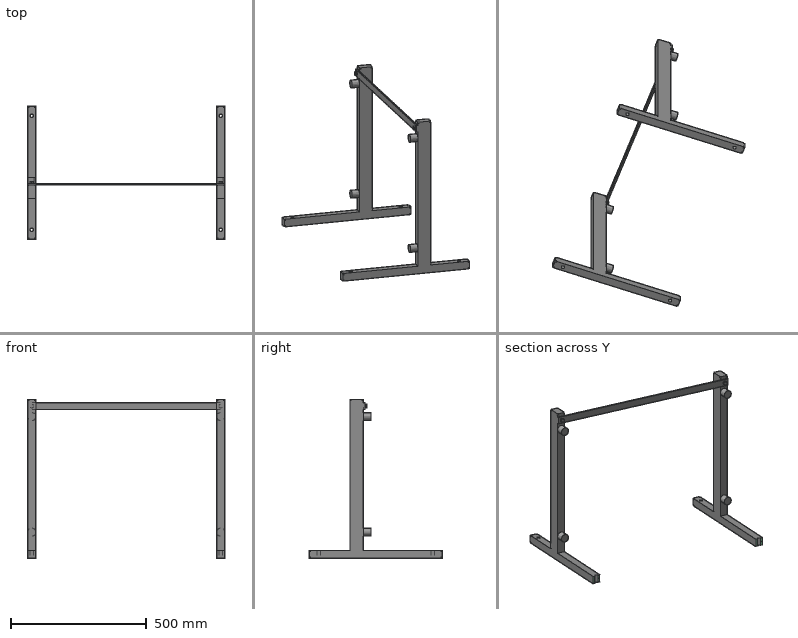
import cadquery as cq
import math

frame_width = 725.0
foot_length = 490.0
frame_height = 585.0

tube_width = 30.0
post_depth = 50.0
post_offset = -70.0
cap_thickness = 5.0
cap_corner_radius = 5.0

hole_diameter = 11.5
hole_end_distance = 35.5

bar_thickness = 6.0
bar_height = 25.5
bar_top_gap = 12.0

bolt_across_flats = 13.0
bolt_height = 7.0
collar_diameter = bolt_across_flats
collar_thickness = 2.0

peg_diameter = tube_width
peg_length = 28.0
upper_peg_top_distance = 64.0
lower_peg_height = 96.5

side_x = (frame_width - tube_width) / 2
post_back = post_offset + post_depth / 2
bar_back = post_back + bar_thickness
bar_center_z = frame_height - bar_top_gap - bar_height / 2
peg_heights = (lower_peg_height, frame_height - upper_peg_top_distance)


def rear_workplane(x, start_y, z):
    """Upright workplane facing +Y, with its own X axis pointing up."""
    return cq.Workplane(cq.Plane(origin=(x, start_y, z), xDir=(0, 0, 1), normal=(0, 1, 0)))


def make_foot(x):
    """Square floor tube with a round-cornered cap at each end and two holes."""
    body_length = foot_length - 2 * cap_thickness
    core = (
        cq.Workplane("XY")
        .box(tube_width, foot_length, tube_width)
        .edges("|Y")
        .fillet(cap_corner_radius)
    )
    hole_y = foot_length / 2 - hole_end_distance
    foot = (
        cq.Workplane("XY")
        .box(tube_width, body_length, tube_width)
        .union(core)
        .faces(">Z")
        .workplane(origin=(0, 0, 0))
        .pushPoints([(0, -hole_y), (0, hole_y)])
        .hole(hole_diameter)
    )
    return foot.translate((x, 0, tube_width / 2))


def make_post(x):
    """Upright rectangular tube with a round-cornered cap on top."""
    body_height = frame_height - cap_thickness - tube_width
    body = cq.Workplane("XY").rect(tube_width, post_depth).extrude(body_height)
    cap = (
        cq.Workplane("XY", origin=(0, 0, body_height))
        .rect(tube_width, post_depth)
        .extrude(cap_thickness)
        .edges("|Z")
        .fillet(cap_corner_radius)
    )
    return body.union(cap).translate((x, post_offset, tube_width))


def make_cross_bar():
    """Flat bar joining the backs of both posts."""
    bar_center_y = post_back + bar_thickness / 2
    bar = cq.Workplane("XY").box(frame_width, bar_thickness, bar_height)
    return bar.translate((0, bar_center_y, bar_center_z))


def make_bolt(x):
    """Hexagon head, with corners up and down, and its collar on the back of the cross bar."""
    across_corners = bolt_across_flats / math.cos(math.pi / 6)
    face = rear_workplane(x, bar_back, bar_center_z)
    collar = face.circle(collar_diameter / 2).extrude(collar_thickness)
    head_start = bar_back + collar_thickness
    head = (
        rear_workplane(x, head_start, bar_center_z)
        .polygon(6, across_corners)
        .extrude(bolt_height - collar_thickness)
    )
    return collar.union(head)


def make_peg(x, z):
    """Round peg pointing backwards from a post."""
    return rear_workplane(x, post_back, z).circle(peg_diameter / 2).extrude(peg_length)


result = make_cross_bar()
for side in (-side_x, side_x):
    result = result.union(make_foot(side)).union(make_post(side)).union(make_bolt(side))
    for peg_height in peg_heights:
        result = result.union(make_peg(side, peg_height))